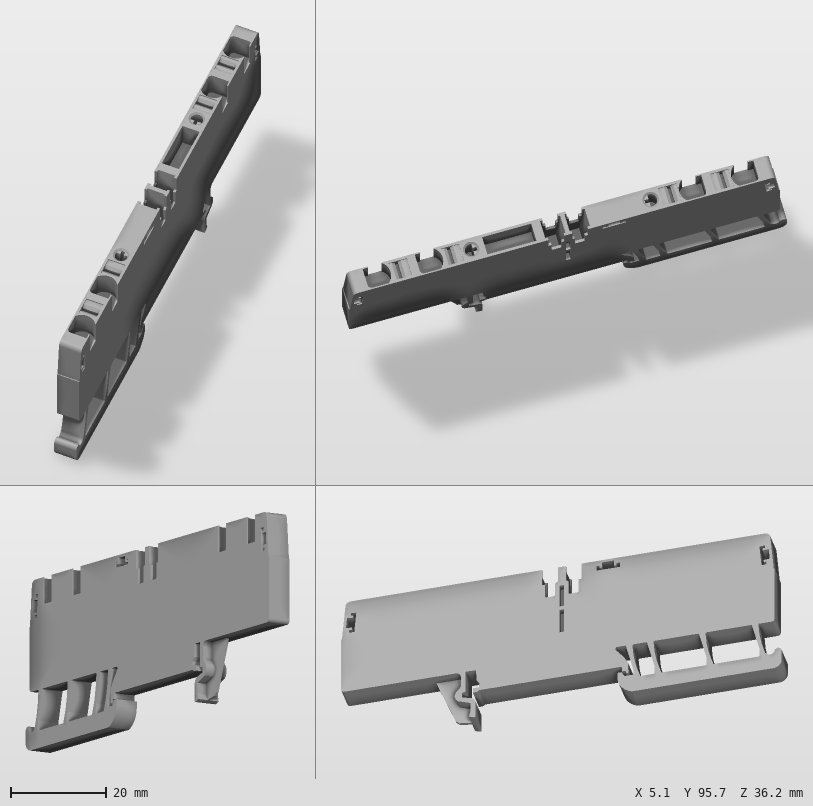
import cadquery as cq
import math


WIDTH = 5.1
HEIGHT = 36.2
HALF_LENGTH = 47.1
BLOCK_BOTTOM = 12.4
TAPER_ANGLE = 5.0
TAPER_START = 26.4
END_STEP = 0.2
TOP_RADIUS = 1.15
BOTTOM_RADIUS = 0.8
SKIN = 0.6
POCKET_WIDTH = WIDTH - 2 * SKIN
MID_X = WIDTH / 2

BLADE_Y = -0.9
BLADE_HALF_TOP = 0.9
BLADE_HALF_BASE = 1.4
SHOULDER_LOW = 32.1
SHOULDER_HIGH = 32.5
NOTCH_BOTTOM = 28.7
NOTCH_STEP = 32.2
NOTCH_OUTER_TOP = 4.3
NOTCH_OUTER_BASE = 3.6
NOTCH_RADIUS = 0.3
CORE_OUTER_TOP = 4.9
CORE_INNER_TOP = 0.5
CORE_BOTTOM = 23.9
BLADE_SLOT_WIDTH = 1.1
BLADE_SLOT_DEPTH = 1.4
BLADE_SLOTS = ((25.8, 31.2), (18.9, 24.8))

TERMINAL_PITCH = 11.4
FUNNEL_OUTER_Y = 42.7
FUNNEL_STRAIGHT = 4.4
FUNNEL_LENGTH = 5.5
FUNNEL_INSET = 0.3
FUNNEL_RADIUS = 0.9
FUNNEL_DEPTH = 5.7
FUNNEL_WINDOW_OFFSET = 1.15
FUNNEL_WINDOW_LENGTH = 3.1

BUTTON_OFFSET = 5.6
BUTTON_LENGTH = 4.0
BUTTON_HEIGHT = 5.7
BUTTON_TOP = HEIGHT - 0.3
GROOVE_OFFSET = 0.7
GROOVE_WIDTH = 2.0
SLOPE_WIDTH = 0.7
SLOPE_DEPTH = 0.6
GROOVE_DEPTH = 1.9

SOCKET_Y = 19.6
SOCKET_RADIUS = 1.3
SOCKET_MOUTH_RADIUS = 1.7
SOCKET_MOUTH_DEPTH = 0.4
SOCKET_FLAT = 0.4
SOCKET_DEPTH = 5.7
KEYWAY_WIDTH = 0.8
KEYWAY_REACH = 1.2
SHAFT_START = 5.9
SHAFT_END = 16.7
SHAFT_DEPTH = 5.7

MARKER_LENGTH = 8.2
MARKER_THICKNESS = 0.62
LEG_SPAN = 3.7
LEG_THICKNESS = 0.6
LEG_LENGTH = 1.3
CLIP_HOLE_LENGTH = 5.1
CLIP_HOLE_DEPTH = 1.9
CLIP_NECK_DEPTH = 0.8
TOP_MARKER_Y = -10.9
END_MARKER_Z = 30.6

STRUT_TOPS = (-15.5, -20.1, -31.4, -42.9)
FOOT_TOP = 3.7
TOTAL_LENGTH = 95.7
FOOT_END = HALF_LENGTH - TOTAL_LENGTH
FOOT_LIP_TOP = 5.3
FOOT_FRONT = -12.9
FOOT_NOSE_LENGTH = 3.2
FOOT_RADIUS = 1.9
LIP_RADIUS = 1.0
STRUT_HALF_TOP = 0.7
STRUT_OVERLAP = 0.2
STRUT_LEAN = 1.4
WINDOW_RADIUS = 0.3

DECK_BOTTOM = 7.0
WEB_THICKNESS = 0.6


def plate(outline, width=WIDTH, start=0.0):
    """Close an outline drawn in Y and Z and give it a width along X."""
    return outline.close().extrude(width).translate((start, 0, 0))


def polygon(points):
    return cq.Workplane("YZ").polyline(points)


def box(y_low, y_high, z_low, z_high, width=WIDTH, start=0.0):
    corners = [(y_low, z_low), (y_high, z_low), (y_high, z_high), (y_low, z_high)]
    return plate(polygon(corners), width, start)


def end_face_y(height):
    """Half length of the block at a height on its leaning ends."""
    return HALF_LENGTH - END_STEP - (height - TAPER_START) * math.tan(math.radians(TAPER_ANGLE))


def main_block():
    top_y = end_face_y(HEIGHT)
    step_y = end_face_y(TAPER_START)
    block = plate(polygon([
        (-HALF_LENGTH, BLOCK_BOTTOM), (HALF_LENGTH, BLOCK_BOTTOM), (HALF_LENGTH, TAPER_START),
        (step_y, TAPER_START), (top_y, HEIGHT), (-top_y, HEIGHT), (-step_y, TAPER_START),
        (-HALF_LENGTH, TAPER_START),
    ]))
    block = block.edges("|X and >Z").fillet(TOP_RADIUS)
    return block.edges("|X and <Z").fillet(BOTTOM_RADIUS)


def deck():
    """Lower step of the block that rests on the rail, with its catch at each end."""
    return plate(polygon([
        (17.8, BLOCK_BOTTOM), (17.6, 9.7), (17.0, 8.8), (17.1, 7.8), (18.5, 7.8), (18.5, 6.6),
        (17.6, 6.6), (17.0, DECK_BOTTOM), (-13.9, DECK_BOTTOM), (-13.9, 5.7), (-14.7, 5.7),
        (-14.9, 5.0), (-15.3, 5.2), (-15.2, 7.85), (-14.4, 9.5), (-12.4, 11.9), (-12.6, BLOCK_BOTTOM),
    ]))


def rail_foot():
    """Long foot with a lip at each end, rounded at its lower corners."""
    outline = (
        cq.Workplane("YZ").moveTo(FOOT_FRONT - FOOT_NOSE_LENGTH, 0)
        .lineTo(FOOT_END + FOOT_RADIUS, 0)
        .radiusArc((FOOT_END, FOOT_RADIUS), FOOT_RADIUS)
        .lineTo(FOOT_END, FOOT_LIP_TOP - LIP_RADIUS)
        .radiusArc((FOOT_END + LIP_RADIUS, FOOT_LIP_TOP), LIP_RADIUS)
        .lineTo(-47.1, 4.9)
        .threePointArc((-46.1, 3.8), (-45.2, 4.5))
        .lineTo(-45.0, FOOT_TOP)
        .lineTo(-16.8, FOOT_TOP)
        .lineTo(-16.3, 4.4)
        .lineTo(-14.6, 4.4)
        .lineTo(-13.8, 5.6)
        .lineTo(FOOT_FRONT, 5.6)
        .lineTo(FOOT_FRONT, 4.1)
        .threePointArc((-13.9, 1.5), (FOOT_FRONT - FOOT_NOSE_LENGTH, 0))
    )
    return plate(outline)


def strut(top_y):
    """Leaning strut that is upright at both roots."""
    outline = (
        cq.Workplane("YZ").moveTo(top_y + STRUT_HALF_TOP, BLOCK_BOTTOM + STRUT_OVERLAP)
        .lineTo(top_y + STRUT_HALF_TOP, BLOCK_BOTTOM - 0.4)
        .lineTo(top_y - 0.9, 5.9)
        .lineTo(top_y - 1.0, FOOT_TOP - STRUT_OVERLAP)
        .lineTo(top_y - 2.5, FOOT_TOP - STRUT_OVERLAP)
        .threePointArc((top_y - 1.15, 8.1), (top_y - STRUT_HALF_TOP, BLOCK_BOTTOM + STRUT_OVERLAP))
    )
    return plate(outline)


def round_windows(body):
    """Round the corners of the three windows between the struts."""
    first, last = STRUT_TOPS[0], STRUT_TOPS[-1]
    margin = 0.1
    for height, shift in ((BLOCK_BOTTOM, 0), (FOOT_TOP, -STRUT_LEAN)):
        corners = cq.selectors.BoxSelector(
            (-margin, first + shift, height - margin),
            (WIDTH + margin, last + shift, height + margin),
        )
        body = body.edges("|X").edges(corners).fillet(WINDOW_RADIUS)
    return body


def release_hook():
    """Full-width spring hook stiffened by a thin web in the middle of its outer side."""
    band = plate(
        cq.Workplane("YZ").moveTo(20.0, BLOCK_BOTTOM)
        .lineTo(20.0, 7.2)
        .lineTo(20.9, DECK_BOTTOM)
        .lineTo(20.9, 5.8)
        .lineTo(19.1, 5.3)
        .threePointArc((18.3, 4.9), (17.9, 4.1))
        .lineTo(17.9, 0)
        .lineTo(18.3, 0)
        .lineTo(19.3, 0.4)
        .lineTo(19.0, 1.7)
        .lineTo(19.0, 3.9)
        .lineTo(21.7, 5.0)
        .threePointArc((22.4, 6.2), (21.9, 7.7))
        .lineTo(21.1, 8.6)
        .lineTo(21.1, 11.1)
        .threePointArc((21.35, 12.1), (22.0, BLOCK_BOTTOM))
    )
    web = plate(polygon([
        (27.0, BLOCK_BOTTOM), (22.8, 1.5), (22.0, 0.9), (19.3, 0.4), (19.0, 1.7), (19.0, 3.9),
        (21.7, 5.0), (21.7, 7.7), (20.9, 8.6), (20.9, BLOCK_BOTTOM),
    ]), WEB_THICKNESS, MID_X - WEB_THICKNESS / 2)
    return band.union(web)


def blade_notch(side):
    """Stepped notch on one side of the centre blade, with its tapered inner pocket."""
    def at(offset, height):
        return (BLADE_Y + side * offset, height)

    notch = plate(polygon([
        at(BLADE_HALF_TOP, HEIGHT), at(BLADE_HALF_TOP, SHOULDER_HIGH), at(BLADE_HALF_BASE, SHOULDER_LOW),
        at(BLADE_HALF_BASE, NOTCH_BOTTOM), at(NOTCH_OUTER_BASE, NOTCH_BOTTOM),
        at(NOTCH_OUTER_BASE, NOTCH_STEP), at(NOTCH_OUTER_TOP, NOTCH_STEP), at(NOTCH_OUTER_TOP, HEIGHT),
    ])).edges("|X and <Z").fillet(NOTCH_RADIUS)
    pocket = plate(polygon([
        at(CORE_INNER_TOP, HEIGHT), at(BLADE_HALF_BASE, CORE_BOTTOM),
        at(NOTCH_OUTER_BASE, CORE_BOTTOM), at(CORE_OUTER_TOP, HEIGHT),
    ]), POCKET_WIDTH, SKIN)
    return notch.union(pocket)


def blade_slots():
    """Two shallow upright slots in the -X side, one above the other below the blade."""
    half = BLADE_SLOT_WIDTH / 2
    return [
        box(BLADE_Y - half, BLADE_Y + half, bottom, top, BLADE_SLOT_DEPTH)
        for bottom, top in BLADE_SLOTS
    ]


def terminal_starts():
    """Outer funnel wall and end (+1 or -1 along Y) of each of the four terminals."""
    return [(FUNNEL_OUTER_Y - row * TERMINAL_PITCH, end) for end in (1, -1) for row in (0, 1)]


def funnel(outer_y, end):
    """Wire entry with a rounded inner end, breaking out through the +X side wall."""
    low_x = FUNNEL_INSET
    high_x = WIDTH - FUNNEL_INSET
    inner_y = outer_y - FUNNEL_STRAIGHT
    opening = (
        cq.Workplane("XY", origin=(0, 0, HEIGHT - FUNNEL_DEPTH))
        .moveTo(low_x, inner_y)
        .threePointArc((MID_X, outer_y - FUNNEL_LENGTH), (high_x, inner_y))
        .lineTo(high_x, outer_y)
        .lineTo(low_x, outer_y)
        .close().extrude(FUNNEL_DEPTH)
        .edges("|Z and >Y").edges("<X").fillet(FUNNEL_RADIUS)
    )
    window_y = outer_y - FUNNEL_WINDOW_OFFSET
    window = box(window_y - FUNNEL_WINDOW_LENGTH, window_y, HEIGHT - FUNNEL_DEPTH, HEIGHT, MID_X, MID_X)
    opening = opening.union(window)
    return opening if end > 0 else opening.mirror("XZ")


def button_blank(outer_y, end, top):
    start = end * (outer_y - BUTTON_OFFSET)
    finish = start - end * BUTTON_LENGTH
    return box(start, finish, BUTTON_TOP - BUTTON_HEIGHT, top, POCKET_WIDTH, SKIN)


def push_button(outer_y, end):
    """Push button with a screwdriver slot between two lead-in slopes across its top."""
    groove_start = outer_y - BUTTON_OFFSET - GROOVE_OFFSET

    def at(offset, depth):
        return (end * (groove_start - offset), BUTTON_TOP - depth)

    slot_end = GROOVE_WIDTH - SLOPE_WIDTH
    groove = plate(polygon([
        at(0, 0), at(SLOPE_WIDTH, SLOPE_DEPTH), at(SLOPE_WIDTH, GROOVE_DEPTH),
        at(slot_end, GROOVE_DEPTH), at(slot_end, SLOPE_DEPTH), at(GROOVE_WIDTH, 0),
    ]))
    return button_blank(outer_y, end, BUTTON_TOP).cut(groove)


def test_socket(end):
    """D-shaped socket with a conical mouth; a keyway splits the flat facing the block's middle."""
    bottom = HEIGHT - SOCKET_DEPTH
    mouth_bottom = HEIGHT - SOCKET_MOUTH_DEPTH
    centre_y = end * SOCKET_Y
    bore = (
        cq.Workplane("XY", origin=(MID_X, centre_y, bottom))
        .circle(SOCKET_RADIUS).extrude(mouth_bottom - bottom)
    )
    flat_y = centre_y - end * SOCKET_FLAT
    bore = bore.cut(box(flat_y, flat_y - end * SOCKET_RADIUS, bottom, mouth_bottom))
    mouth = (
        cq.Workplane("XY", origin=(MID_X, centre_y, mouth_bottom))
        .circle(SOCKET_RADIUS)
        .workplane(offset=SOCKET_MOUTH_DEPTH).circle(SOCKET_MOUTH_RADIUS)
        .loft()
    )
    keyway = box(centre_y, centre_y - end * KEYWAY_REACH, bottom, mouth_bottom,
                 KEYWAY_WIDTH, MID_X - KEYWAY_WIDTH / 2)
    return bore.union(mouth).union(keyway)


def marker():
    """Marker strip centred on the origin, outer face at Z = 0 and legs pointing down."""
    half = MARKER_LENGTH / 2
    strip = box(-half, half, -MARKER_THICKNESS, 0)
    for side in (1, -1):
        outer = side * LEG_SPAN / 2
        inner = outer - side * LEG_THICKNESS
        strip = strip.union(box(outer, inner, -MARKER_THICKNESS - LEG_LENGTH, -MARKER_THICKNESS))
    return strip


def marker_seat():
    """Space for a marker strip: shallow recess, clip neck and wider clip hole."""
    half = MARKER_LENGTH / 2
    neck_bottom = -MARKER_THICKNESS - CLIP_NECK_DEPTH
    recess = box(-half, half, -MARKER_THICKNESS, MARKER_THICKNESS)
    neck = box(-LEG_SPAN / 2, LEG_SPAN / 2, neck_bottom, -MARKER_THICKNESS)
    hole = box(-CLIP_HOLE_LENGTH / 2, CLIP_HOLE_LENGTH / 2,
               -MARKER_THICKNESS - CLIP_HOLE_DEPTH, neck_bottom)
    return recess.union(neck).union(hole)


def at_marker_places(shape):
    """Copies of a shape on the top face and on both leaning ends."""
    places = [shape.translate((0, TOP_MARKER_Y, HEIGHT))]
    for end in (1, -1):
        tilted = shape.rotate((0, 0, 0), (1, 0, 0), end * (TAPER_ANGLE - 90))
        places.append(tilted.translate((0, end * end_face_y(END_MARKER_Z), END_MARKER_Z)))
    return places


def housing_body():
    body = main_block().union(deck()).union(rail_foot()).union(release_hook())
    for top_y in STRUT_TOPS:
        body = body.union(strut(top_y))
    body = round_windows(body)
    for slot in blade_slots():
        body = body.cut(slot)
    for side in (1, -1):
        body = body.cut(blade_notch(side))
    for outer_y, end in terminal_starts():
        body = body.cut(funnel(outer_y, end))
        body = body.cut(button_blank(outer_y, end, HEIGHT))
    for end in (1, -1):
        body = body.cut(test_socket(end))
    body = body.cut(box(SHAFT_START, SHAFT_END, HEIGHT - SHAFT_DEPTH, HEIGHT, POCKET_WIDTH, SKIN))
    for seat in at_marker_places(marker_seat()):
        body = body.cut(seat)
    return body


housing = housing_body()
buttons = [push_button(outer_y, end) for outer_y, end in terminal_starts()]
markers = at_marker_places(marker())

result = cq.Compound.makeCompound(
    [housing.val()] + [button.val() for button in buttons] + [strip.val() for strip in markers]
)